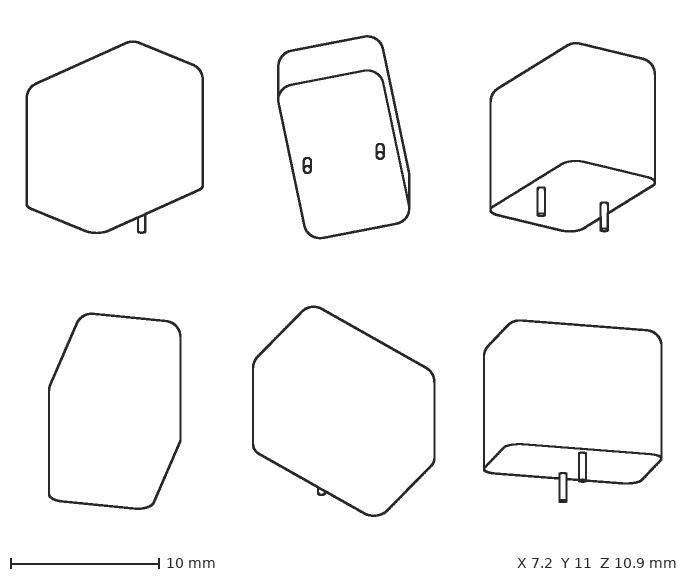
import cadquery as cq

body_width = 7.2
body_length = 11.0
overall_height = 10.9

body_height = 9.0
edge_radius = 1.1
pin_diameter = 0.5
pin_spacing = 5.0
pin_length = overall_height - body_height


def make_body():
    """Box standing on Z = 0, rounded everywhere except around its flat base."""
    box = cq.Workplane("XY").box(body_width, body_length, body_height, centered=(True, True, False))
    return box.edges("|Z or >Z").fillet(edge_radius)


def make_pins():
    """Two pins hanging from the base, spaced along X."""
    centers = [(-pin_spacing / 2, 0), (pin_spacing / 2, 0)]
    return cq.Workplane("XY").pushPoints(centers).circle(pin_diameter / 2).extrude(-pin_length)


result = make_body().union(make_pins())